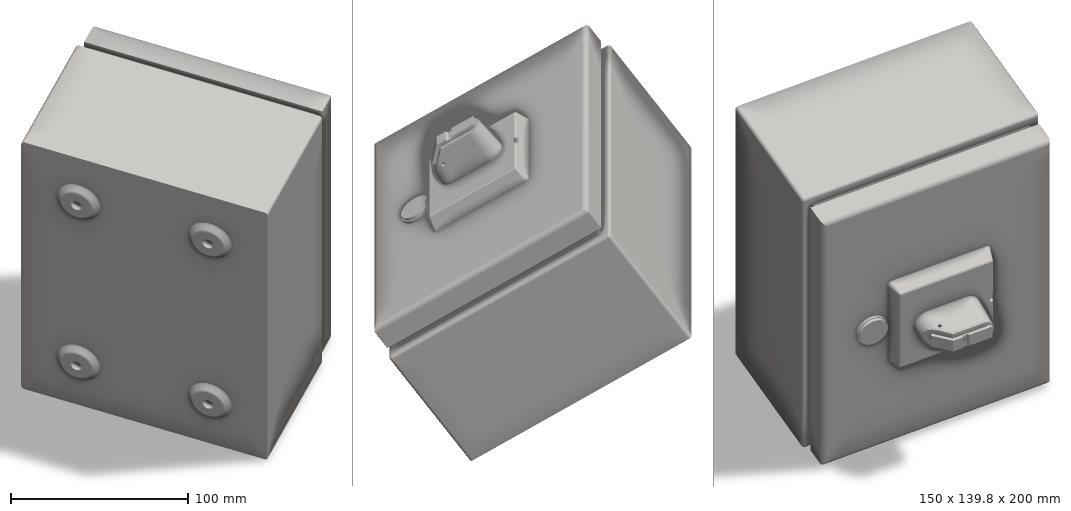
import cadquery as cq
import math


box_width = 150.0
box_height = 200.0
box_depth = 83.0
box_edge_radius = 2.0
box_rim_radius = 1.7

neck_inset = 6.3
neck_length = 5.0
lid_inset = 2.5
lid_thickness = 15.0
lid_edge_radius = 3.0

total_depth = 139.82
foot_height = 3.4
foot_spacing_x = 80.0
foot_spacing_z = 130.0
foot_radius = 13.2
foot_draft = 45.0
foot_edge_radius = 1.8
foot_hole_diameter = 6.7
foot_hole_depth = foot_height

axis_x = -1.2
axis_z = -0.5
plate_size = 65.0
plate_top_size = 59.0
plate_height = 9.4
plate_corner_radius = 2.7
plate_top_corner_radius = 0.9
plate_edge_chamfer = 0.6
notch_width = 5.4
notch_depth = 2.0

handle_length = 41.4
handle_width = 16.8
handle_height = 21.4
handle_taper = 4.0
cap_thickness = 1.0
cap_inset = 0.15
slope_angle = 45.0
slope_start = 7.0
pin_hole_diameter = 2.4
pin_hole_x = 10.9
pin_hole_drop = 8.6
pin_hole_web = 10.0

strip_width = 8.6
strip_start = 16.8
strip_slope_run = 8.6
strip_flange_thickness = 1.2
strip_web_inset = 0.8
groove_x = -0.1
groove_width = 4.2
groove_floor_width = 2.0
groove_depth = 1.6

lock_x = 41.8
lock_rim_radius = 9.7
lock_face_radius = 9.0
lock_rim_height = 1.6
lock_height = 3.4

lid_back = box_depth + neck_length
lid_front = lid_back + lid_thickness
plate_top = lid_front + plate_height
handle_top = plate_top + handle_height
strip_top = total_depth - foot_height
strip_thickness = strip_top - handle_top

bend_shift = math.tan(math.radians(slope_angle / 2))


def facing_front(y, x=0.0, z=0.0):
    """Workplane at depth y whose normal is +Y, centred on (x, z)."""
    plane = cq.Plane(origin=(x, y, z), xDir=(1, 0, 0), normal=(0, 1, 0))
    return cq.Workplane(plane)


def make_box():
    box = facing_front(0).rect(box_width, box_height).extrude(box_depth)
    box = box.edges("|Y").fillet(box_edge_radius)
    return box.faces(">Y").edges().fillet(box_rim_radius)


def make_neck():
    width = box_width - 2 * neck_inset
    height = box_height - 2 * neck_inset
    return facing_front(box_depth).rect(width, height).extrude(neck_length)


def make_lid():
    width = box_width - 2 * lid_inset
    height = box_height - 2 * lid_inset
    lid = facing_front(lid_back).rect(width, height).extrude(lid_thickness)
    return lid.faces(">Y").edges().fillet(lid_edge_radius)


def make_foot(x, z):
    """Conical foot with a rounded face edge and a blind hole in its face."""
    face_radius = foot_radius - foot_height * math.tan(math.radians(foot_draft))
    profile = (
        cq.Workplane("XY")
        .lineTo(foot_radius, 0)
        .lineTo(face_radius, -foot_height)
        .lineTo(0, -foot_height)
        .close()
    )
    foot = profile.revolve(360, (0, 0, 0), (0, 1, 0))
    foot = foot.faces("<Y").edges().fillet(foot_edge_radius)
    hole = facing_front(-foot_height).circle(foot_hole_diameter / 2).extrude(foot_hole_depth)
    return foot.cut(hole).translate((x, 0, z))


def make_plate():
    """Square plate whose sides slope inward, notched at the middle of its -X edge."""
    base = cq.Sketch().rect(plate_size, plate_size).vertices().fillet(plate_corner_radius)
    top = cq.Sketch().rect(plate_top_size, plate_top_size).vertices().fillet(plate_top_corner_radius)
    top = top.moved(cq.Location(cq.Vector(0, 0, plate_height)))
    plate = facing_front(lid_front, axis_x, axis_z).placeSketch(base, top).loft()
    plate = plate.faces(">Y").edges().chamfer(plate_edge_chamfer)
    notch = cq.Workplane("XY").box(2 * notch_depth, 2 * notch_depth, notch_width)
    return plate.cut(notch.translate((axis_x - plate_top_size / 2, plate_top, axis_z)))


def make_grip(inset, drop):
    """Tapered oblong with a 45 degree slope toward +X, set in and lowered by the given amounts."""
    grip = (
        facing_front(plate_top, axis_x, axis_z)
        .slot2D(handle_length - 2 * inset, handle_width - 2 * inset)
        .extrude(handle_height, taper=handle_taper)
    )
    slope_x = slope_start - drop * bend_shift
    reach = handle_length
    remainder = (
        cq.Workplane("XY", origin=(axis_x, handle_top - drop, axis_z))
        .moveTo(-reach, 0)
        .lineTo(slope_x, 0)
        .lineTo(slope_x + reach, -reach)
        .lineTo(slope_x + reach, reach)
        .lineTo(-reach, reach)
        .close()
        .extrude(handle_width, both=True)
    )
    return grip.cut(remainder)


def make_handle():
    """Grip with a slightly narrower cap layer and a blind pin hole in each flank."""
    handle = make_grip(0, cap_thickness).union(make_grip(cap_inset, 0))
    for side in (-1, 1):
        hole = (
            cq.Workplane("XY", origin=(axis_x, handle_top, axis_z + side * pin_hole_web / 2))
            .center(pin_hole_x, -pin_hole_drop)
            .circle(pin_hole_diameter / 2)
            .extrude(side * handle_width)
        )
        handle = handle.cut(hole)
    return handle


def make_strip_layer(width, start, top):
    """Even layer from the handle surface up to the given height, bent over the slope."""
    bend_x = slope_start + top * bend_shift
    foot_x = slope_start + strip_slope_run
    end_offset = top * math.sin(math.radians(slope_angle))
    return (
        cq.Workplane("XY", origin=(axis_x, handle_top, axis_z))
        .moveTo(-start, 0)
        .lineTo(-start, top)
        .lineTo(bend_x, top)
        .lineTo(foot_x + end_offset, end_offset - strip_slope_run)
        .lineTo(foot_x, -strip_slope_run)
        .lineTo(slope_start, 0)
        .close()
        .extrude(width / 2, both=True)
    )


def make_strip():
    """Bent strip with an overhanging flange on top and a cross groove."""
    web_top = strip_thickness - strip_flange_thickness
    web_width = strip_width - 2 * strip_web_inset
    web = make_strip_layer(web_width, strip_start - strip_web_inset, web_top)
    flange = make_strip_layer(strip_width, strip_start, strip_thickness)
    flange = flange.cut(make_strip_layer(strip_width, strip_start, web_top))
    groove = (
        cq.Workplane("XY", origin=(axis_x + groove_x, handle_top + strip_thickness, axis_z))
        .moveTo(-groove_width / 2, 0)
        .lineTo(groove_width / 2, 0)
        .lineTo(groove_floor_width / 2, -groove_depth)
        .lineTo(-groove_floor_width / 2, -groove_depth)
        .close()
        .extrude(strip_width, both=True)
    )
    return web.union(flange).cut(groove)


def make_lock():
    rim = facing_front(lid_front, lock_x, axis_z).circle(lock_rim_radius).extrude(lock_rim_height)
    face = facing_front(lid_front, lock_x, axis_z).circle(lock_face_radius).extrude(lock_height)
    return rim.union(face)


result = make_box().union(make_neck()).union(make_lid())
for foot_x in (-foot_spacing_x / 2, foot_spacing_x / 2):
    for foot_z in (-foot_spacing_z / 2, foot_spacing_z / 2):
        result = result.union(make_foot(foot_x, foot_z))
result = result.union(make_plate()).union(make_handle()).union(make_strip()).union(make_lock())